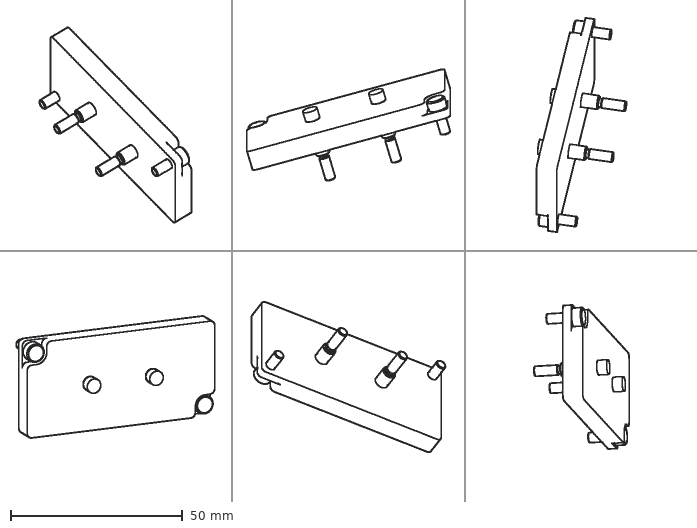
import cadquery as cq
import math


plate_length = 60
plate_height = 28.7
plate_thickness = 6
corner_radius = 1.5

screw_spacing_x = 54
screw_spacing_z = 22.0
shank_diameter = 3
shank_projection = 5.4
shank_tip_chamfer = 0.25
head_diameter = 5.5
head_height = 3
head_chamfer = 0.35

pocket_depth = 3.4
pocket_radius = 3.25
pocket_mouth_radius = corner_radius

contact_spacing = 20.0
socket_diameter = 4.3
socket_length = 3
barrel_diameter = 4.1
barrel_projection = 5.1
barrel_chamfer = 0.35
plunger_diameter = 3
plunger_tip_reach = 13.0
neck_diameter = 2.45
neck_length = 0.7
plunger_chamfer = (plunger_diameter - neck_diameter) / 2

half_length = plate_length / 2
half_height = plate_height / 2
screw_x = screw_spacing_x / 2
screw_z = screw_spacing_z / 2
pocket_floor_y = plate_thickness - pocket_depth
contact_positions = [(-contact_spacing / 2, 0), (contact_spacing / 2, 0)]
screw_positions = [(-screw_x, -screw_z), (screw_x, screw_z)]


def rod(diameter, y_start, y_end):
    """Round bar along the Y axis from y_start up to y_end."""
    start_plane = cq.Workplane("XZ", origin=(0, y_start, 0))
    return start_plane.circle(diameter / 2).extrude(y_start - y_end)


def place_copies(body, positions):
    """One separate copy of the body at each (x, z) position."""
    return [body.translate((x, 0, z)) for x, z in positions]


def make_head_pocket():
    """Pocket for the upper right screw, open to the top, right and rear of the plate."""
    wall_x = screw_x - pocket_radius
    wall_z = screw_z - pocket_radius
    mouth = pocket_mouth_radius
    arc_middle = pocket_radius * math.cos(math.pi / 4)
    mouth_middle = mouth * (1 - math.cos(math.pi / 4))
    return (
        cq.Workplane("XZ", origin=(0, pocket_floor_y, 0))
        .moveTo(wall_x - mouth, half_height)
        .threePointArc(
            (wall_x - mouth_middle, half_height - mouth_middle),
            (wall_x, half_height - mouth),
        )
        .lineTo(wall_x, screw_z)
        .threePointArc((screw_x - arc_middle, screw_z - arc_middle), (screw_x, wall_z))
        .lineTo(half_length - mouth, wall_z)
        .threePointArc(
            (half_length - mouth_middle, wall_z - mouth_middle),
            (half_length, wall_z - mouth),
        )
        .lineTo(half_length, half_height)
        .close()
        .extrude(-pocket_depth)
    )


def make_plate():
    """Rounded plate with two head pockets and through holes for screws and barrels."""
    plate = (
        cq.Workplane("XZ")
        .rect(plate_length, plate_height)
        .extrude(-plate_thickness)
        .edges("|Y")
        .fillet(corner_radius)
    )
    pocket = make_head_pocket()
    opposite_pocket = pocket.rotate((0, 0, 0), (0, 1, 0), 180)
    plate = plate.cut(pocket).cut(opposite_pocket)
    screw_hole = rod(shank_diameter, 0, plate_thickness)
    barrel_hole = rod(barrel_diameter, 0, plate_thickness)
    holes = place_copies(screw_hole, screw_positions) + place_copies(barrel_hole, contact_positions)
    for hole in holes:
        plate = plate.cut(hole)
    return plate


def make_screw():
    """Cap screw whose head rests on the pocket floor."""
    shank = rod(shank_diameter, -shank_projection, pocket_floor_y)
    shank = shank.faces("<Y").chamfer(shank_tip_chamfer)
    head = rod(head_diameter, pocket_floor_y, pocket_floor_y + head_height)
    head = head.faces(">Y").chamfer(head_chamfer)
    return shank.union(head)


def make_socket():
    """Contact socket standing on the rear face, behind the barrel."""
    return rod(socket_diameter, plate_thickness, plate_thickness + socket_length)


def make_barrel():
    """Contact barrel through the plate, standing out at the front."""
    barrel = rod(barrel_diameter, -barrel_projection, plate_thickness)
    return barrel.faces("<Y").chamfer(barrel_chamfer)


def make_plunger():
    """Contact plunger with a narrow neck at the barrel mouth."""
    shoulder_y = -barrel_projection - neck_length
    neck = rod(neck_diameter, shoulder_y, -barrel_projection)
    tip = rod(plunger_diameter, -plunger_tip_reach, shoulder_y)
    tip = tip.faces("<Y or >Y").chamfer(plunger_chamfer)
    return neck.union(tip)


plate = make_plate()
screws = place_copies(make_screw(), screw_positions)
sockets = place_copies(make_socket(), contact_positions)
barrels = place_copies(make_barrel(), contact_positions)
plungers = place_copies(make_plunger(), contact_positions)

bodies = [plate, *screws, *sockets, *barrels, *plungers]
result = cq.Compound.makeCompound([body.val() for body in bodies])